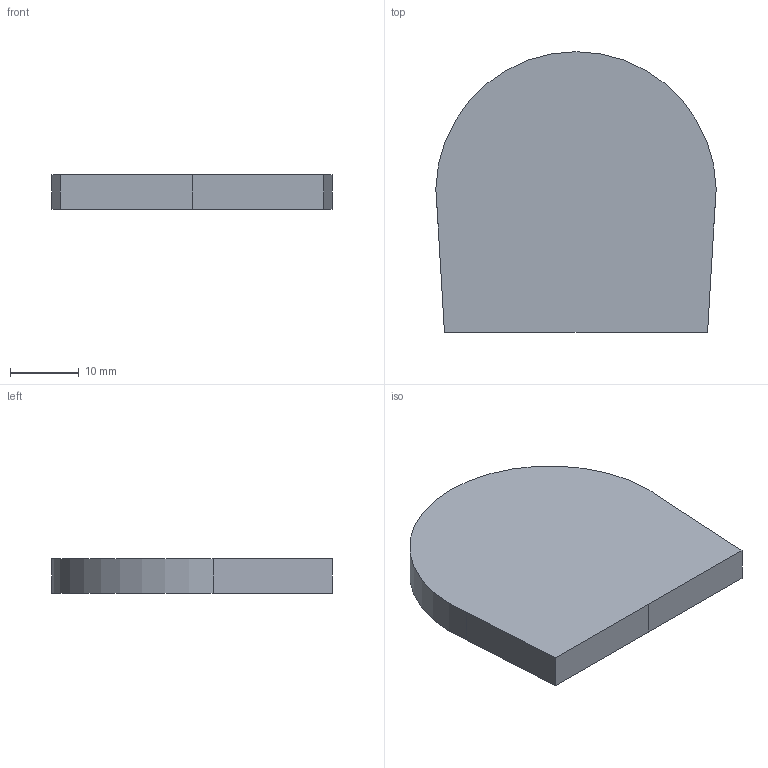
import cadquery as cq
import math

radius = 20.365
thickness = 4.95
base_width = 38.2
side_top_drop = 3.05

half_base = base_width / 2
base_y = -radius
side_top_x = math.sqrt(radius**2 - side_top_drop**2)
side_top_y = -side_top_drop


def plate():
    """Flat plate with a straight base, tapered sides and a round end."""
    outline = (
        cq.Workplane("XY")
        .moveTo(0, base_y)
        .lineTo(half_base, base_y)
        .lineTo(side_top_x, side_top_y)
        .threePointArc((0, radius), (-side_top_x, side_top_y))
        .lineTo(-half_base, base_y)
        .close()
    )
    return outline.extrude(thickness, clean=False)


result = plate()